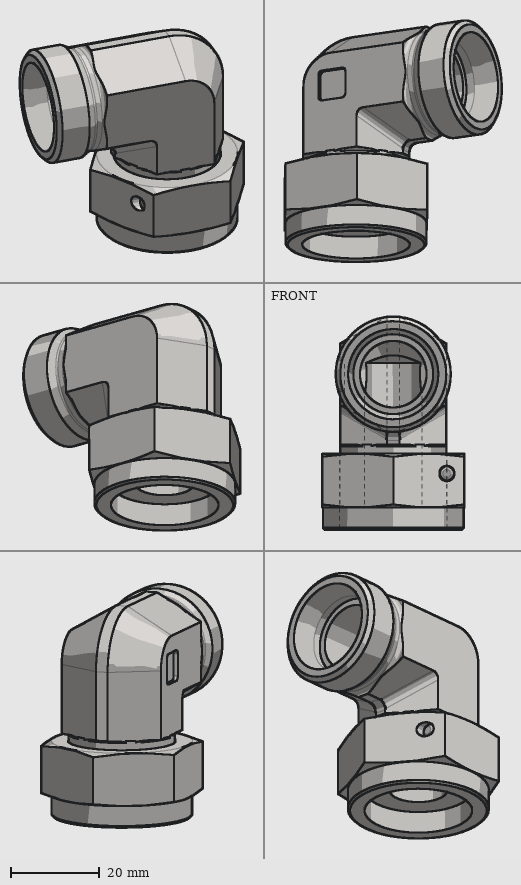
import cadquery as cq
import math

COS_30 = math.cos(math.radians(30))
SIN_30 = math.sin(math.radians(30))
TAN_30 = math.tan(math.radians(30))
COS_45 = math.cos(math.radians(45))
TOLERANCE = 4.95e-05

thread_radius = 26.0 / 2

elbow_half_width = 11.95
elbow_half_height = thread_radius
inner_corner_radius = 2.0
branch_hex_end = 18.9
run_hex_end = 15.85

nut_across_flats = 32.0
nut_corner_radius = nut_across_flats / 2 / COS_30
overall_length = 49.5
branch_end = overall_length - nut_corner_radius
thread_end_chamfer = 1.05
thread_start = 23.45
groove_radius = 23.7 / 2
groove_fillet = 1.1

mouth_radius = 20.35 / 2
socket_radius = 18.0 / 2
mouth_taper_depth = 5.45
socket_depth = 7.5
branch_bore_radius = 15.0 / 2
branch_bore_end = 1.65

neck_radius = 24.0 / 2
neck_fillet = 0.45
run_bore_radius = 13.0 / 2
run_bore_end = 2.5

pad_size = 7.0
pad_y = -0.5
pad_z = -0.45
pad_corner_radius = 1.0
pad_depth = 1.0

overall_height = 48.05
nut_top = -17.9
nut_hex_height = 12.1
nut_hex_bottom = nut_top - nut_hex_height
nut_bottom = thread_radius - overall_height
nut_bore_radius = 24.25 / 2
nut_collar_radius = 31.8 / 2
nut_collar_chamfer = 0.5
nut_corner_chamfer_angle = 15
neck_end = nut_hex_bottom

pin_radius = 3.2 / 2
pin_hole_radius = 3.4 / 2
pin_tip_fillet = 0.7
pin_x = 12.05
pin_z = -22.35
pin_tip = -10.65
pin_inner_end = 0.0


def hexagon_points():
    """Upper and lower halves of the elbow's hexagon: flats at +-X, the other two corners truncated."""
    corner = elbow_half_width / COS_30
    shoulder = corner / 2
    flat = (corner - elbow_half_height) / TAN_30
    upper = [
        (elbow_half_width, shoulder),
        (flat, elbow_half_height),
        (-flat, elbow_half_height),
        (-elbow_half_width, shoulder),
    ]
    lower = [(-x, -height) for x, height in upper]
    return upper, lower


def turned(points):
    """Solid turned about the Z axis from (radius, height) points that start and end on the axis."""
    return cq.Workplane("XZ").polyline(points).close().revolve(360, (0, 0, 0), (0, 1, 0))


def swing_to_branch(shape):
    """Swing a shape that points down along -Z so that it points along -Y."""
    return shape.rotate((0, 0, 0), (1, 0, 0), -90)


def hexagon_arm(hex_end, root_radius, root_fillet):
    """Hexagon bar hanging from the origin, its end relieved by a fillet that runs into a round root."""
    upper, lower = hexagon_points()
    length = hex_end + root_fillet
    bar = cq.Workplane("XY").polyline(upper + lower).close().extrude(-length)
    outside = 2 * elbow_half_width
    fillet_center = root_radius + root_fillet
    relief = (
        cq.Workplane("XZ")
        .moveTo(root_radius, -length)
        .threePointArc(
            (fillet_center - root_fillet * COS_45, -length + root_fillet * COS_45),
            (fillet_center, -hex_end),
        )
        .lineTo(outside, -hex_end)
        .lineTo(outside, -length)
        .close()
        .revolve(360, (0, 0, 0), (0, 1, 0))
    )
    return bar, relief


def outer_bend():
    upper, _ = hexagon_points()
    half_outline = [(elbow_half_width, 0), *upper, (-elbow_half_width, 0)]
    return cq.Workplane("XY").polyline(half_outline).close().revolve(90, (0, 0, 0), (1, 0, 0))


def fillet_inner_corner(forging):
    """Fillet the three-edge mitre where the undersides of the branch and the run meet."""
    mitre = [
        edge
        for edge in forging.edges().vals()
        if all(vertex.Y < 0 and abs(vertex.Y - vertex.Z) < TOLERANCE for vertex in edge.Vertices())
    ]
    return forging.newObject(mitre).fillet(inner_corner_radius)


def elbow_forging():
    branch_bar, branch_relief = hexagon_arm(branch_hex_end, groove_radius, groove_fillet)
    run_bar, run_relief = hexagon_arm(run_hex_end, neck_radius, neck_fillet)
    bars = run_bar.union(swing_to_branch(branch_bar)).union(outer_bend())
    return fillet_inner_corner(bars).cut(run_relief).cut(swing_to_branch(branch_relief))


def branch_spigot():
    """Groove, 30-degree flank blended by a fillet, and the plain thread diameter with its end chamfer."""
    flank_foot = thread_start - (thread_radius - groove_radius) / TAN_30
    blend = groove_fillet * math.tan(math.radians(15))
    spigot = (
        cq.Workplane("XZ")
        .lineTo(groove_radius, 0)
        .lineTo(groove_radius, -(flank_foot - blend))
        .tangentArcPoint((groove_radius + blend * SIN_30, -(flank_foot + blend * COS_30)), relative=False)
        .lineTo(thread_radius, -thread_start)
        .lineTo(thread_radius, -(branch_end - thread_end_chamfer))
        .lineTo(thread_radius - thread_end_chamfer, -branch_end)
        .lineTo(0, -branch_end)
        .close()
        .revolve(360, (0, 0, 0), (0, 1, 0))
    )
    return swing_to_branch(spigot)


def branch_bore():
    bore = turned(
        [
            (0, -branch_end),
            (mouth_radius, -branch_end),
            (socket_radius, -(branch_end - mouth_taper_depth)),
            (socket_radius, -(branch_end - socket_depth)),
            (branch_bore_radius, -(branch_end - socket_depth)),
            (branch_bore_radius, branch_bore_end),
            (0, branch_bore_end + branch_bore_radius * TAN_30),
        ]
    )
    return swing_to_branch(bore)


def run_bore():
    return turned(
        [
            (0, neck_end),
            (run_bore_radius, neck_end),
            (run_bore_radius, run_bore_end),
            (0, run_bore_end + run_bore_radius * TAN_30),
        ]
    )


def side_pad():
    """Shallow rounded-square recess in the -X flat."""
    return (
        cq.Workplane("YZ", origin=(-elbow_half_width, pad_y, pad_z))
        .rect(pad_size, pad_size)
        .extrude(pad_depth)
        .edges("|X")
        .fillet(pad_corner_radius)
    )


def pin_cylinder(radius, tip):
    """Cylinder along Y from the pin's inner end to the given tip position."""
    return (
        cq.Workplane("XZ", origin=(pin_x, pin_inner_end, pin_z))
        .circle(radius)
        .extrude(pin_inner_end - tip)
    )


def pin_hole():
    return pin_cylinder(pin_hole_radius, -nut_corner_radius)


def make_elbow():
    neck = (
        cq.Workplane("XY", origin=(0, 0, neck_end))
        .circle(neck_radius)
        .extrude(-run_hex_end - neck_end)
    )
    body = elbow_forging().union(neck).union(branch_spigot())
    return body.cut(branch_bore()).cut(run_bore()).cut(side_pad()).cut(pin_hole())


def make_nut():
    corner_drop = (nut_corner_radius - nut_collar_radius) * math.tan(math.radians(nut_corner_chamfer_angle))
    hexagon = (
        cq.Workplane("XY", origin=(0, 0, nut_hex_bottom))
        .polygon(6, 2 * nut_corner_radius)
        .extrude(nut_hex_height)
        .rotate((0, 0, 0), (0, 0, 1), 30)
    )
    chamfer_envelope = turned(
        [
            (0, nut_hex_bottom),
            (nut_collar_radius, nut_hex_bottom),
            (nut_corner_radius, nut_hex_bottom + corner_drop),
            (nut_corner_radius, nut_top - corner_drop),
            (nut_collar_radius, nut_top),
            (0, nut_top),
        ]
    )
    collar = (
        cq.Workplane("XY", origin=(0, 0, nut_bottom))
        .circle(nut_collar_radius)
        .extrude(nut_hex_bottom - nut_bottom)
        .faces("<Z")
        .chamfer(nut_collar_chamfer)
    )
    bore = (
        cq.Workplane("XY", origin=(0, 0, nut_bottom))
        .circle(nut_bore_radius)
        .extrude(nut_top - nut_bottom)
    )
    return hexagon.intersect(chamfer_envelope).union(collar).cut(bore).cut(pin_hole())


def make_retaining_pin():
    return pin_cylinder(pin_radius, pin_tip).faces("<Y").edges().fillet(pin_tip_fillet)


elbow = make_elbow()
nut = make_nut()
retaining_pin = make_retaining_pin()

result = cq.Compound.makeCompound([elbow.val(), nut.val(), retaining_pin.val()])